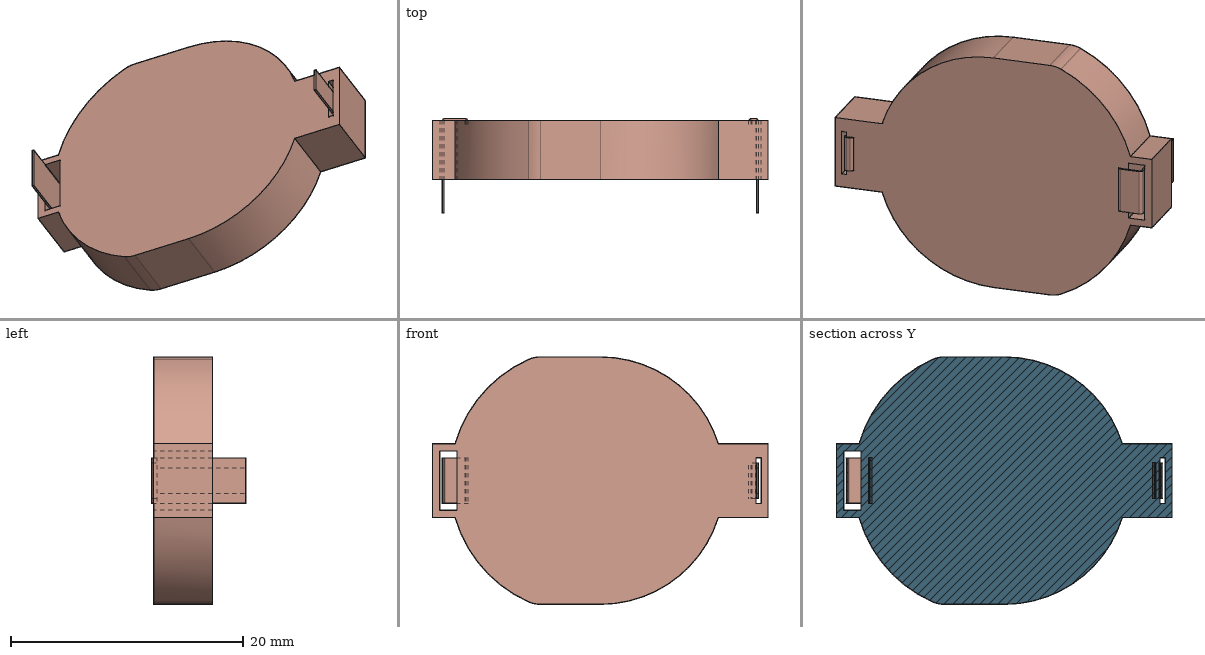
import cadquery as cq
import math


length = 28.95
thickness = 5.1
height = 21.35
round_radius = height / 2
nose_radius = 11.45
nose_center_x = -1.53
blend_radius = 2.5
lug_half_height = 3.2
lug_root_x = 8.7

left_slot_start, left_slot_end = -13.8, -12.37
left_slot_half_height = 2.55
right_slot_start, right_slot_end = 13.45, 13.87
right_slot_half_height = 1.97

sheet = 0.17
bend_inner_radius = 0.1
bend_outer_radius = bend_inner_radius + sheet
leg_tip_y = -2.87
strip_top_y = thickness + sheet
lip_depth = 0.3
lip_tip_y = thickness - lip_depth
left_contact_leg_x = -13.65
left_contact_lip_x = -11.4
left_contact_half_width = 1.97
right_contact_leg_x = 13.65
right_contact_lip_x = 12.8
right_strip_half_width = 1.53
right_leg_half_width = 1.1


def block(x_range, y_range, half_height):
    """Box between two X and two Y values, centred on Z = 0."""
    x0, x1 = sorted(x_range)
    y0, y1 = sorted(y_range)
    return cq.Workplane("XY").box(x1 - x0, y1 - y0, 2 * half_height).translate(
        ((x0 + x1) / 2, (y0 + y1) / 2, 0)
    )


def make_round_body():
    """Round body with flats at top and bottom and a larger radius on the left."""
    blend_z = round_radius - blend_radius
    blend_x = nose_center_x - math.sqrt((nose_radius - blend_radius) ** 2 - blend_z**2)
    nose_angle = math.atan2(blend_z, blend_x - nose_center_x)
    touch_x = nose_center_x + nose_radius * math.cos(nose_angle)
    touch_z = nose_radius * math.sin(nose_angle)
    mid_angle = (nose_angle + math.pi / 2) / 2
    mid_x = blend_x + blend_radius * math.cos(mid_angle)
    mid_z = blend_z + blend_radius * math.sin(mid_angle)
    return (
        cq.Workplane("XZ")
        .moveTo(0, round_radius)
        .threePointArc((round_radius, 0), (0, -round_radius))
        .lineTo(blend_x, -round_radius)
        .threePointArc((mid_x, -mid_z), (touch_x, -touch_z))
        .threePointArc((nose_center_x - nose_radius, 0), (touch_x, touch_z))
        .threePointArc((mid_x, mid_z), (blend_x, round_radius))
        .close()
        .extrude(-thickness)
    )


def bend_recess(outer_x, inward, half_width):
    """Shallow cut in the back face that takes one bend of a contact."""
    return block((outer_x, outer_x + inward * bend_outer_radius), (lip_tip_y, thickness), half_width)


def make_housing():
    through = (0, thickness)
    body = make_round_body()
    for side in (-1, 1):
        body = body.union(block((side * lug_root_x, side * length / 2), through, lug_half_height))
    body = body.cut(block((left_slot_start, left_slot_end), through, left_slot_half_height))
    body = body.cut(block((right_slot_start, right_slot_end), through, right_slot_half_height))
    body = body.cut(bend_recess(left_contact_lip_x, -1, left_contact_half_width))
    body = body.cut(bend_recess(right_contact_lip_x, 1, right_strip_half_width))
    body = body.cut(bend_recess(right_contact_leg_x, -1, right_strip_half_width))
    return body


def make_contact(leg_x, lip_x, strip_half_width, leg_half_width):
    """Strip on the back face, bent down at both ends, with a leg to the front at one of them."""
    start, end = sorted((leg_x, lip_x))
    bridge = block((start, end), (lip_tip_y, strip_top_y), strip_half_width)
    bridge = bridge.edges("|Z and >Y").fillet(bend_outer_radius)
    hollow = block((start + sheet, end - sheet), (lip_tip_y, thickness), strip_half_width)
    hollow = hollow.edges("|Z and >Y").fillet(bend_inner_radius)
    inward = math.copysign(sheet, lip_x - leg_x)
    leg = block((leg_x, leg_x + inward), (leg_tip_y, lip_tip_y), leg_half_width)
    return bridge.cut(hollow).union(leg)


housing = make_housing()
left_contact = make_contact(
    left_contact_leg_x, left_contact_lip_x, left_contact_half_width, left_contact_half_width
)
right_contact = make_contact(
    right_contact_leg_x, right_contact_lip_x, right_strip_half_width, right_leg_half_width
)

result = cq.Compound.makeCompound([housing.val(), left_contact.val(), right_contact.val()])